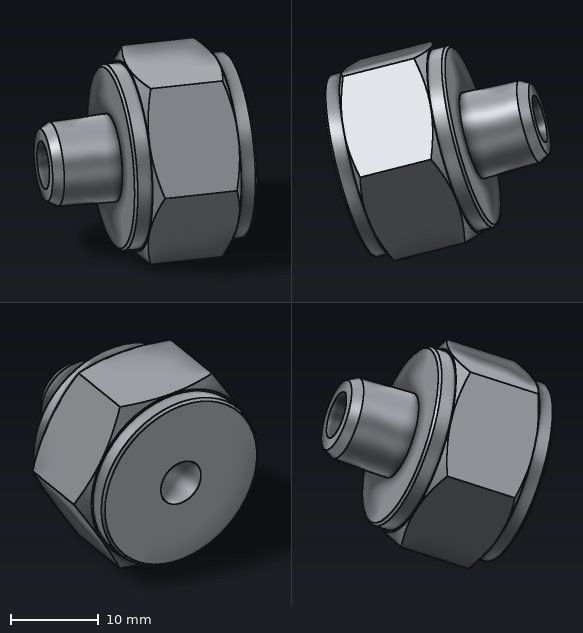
import cadquery as cq
import math

hex_corners = 25.4
hex_land_diameter = 21.95
hex_chamfer_angle = 30.0
collar_diameter = 21.5
collar_chamfer = 0.3
stem_base_diameter = 10.15
stem_end_diameter = 9.75
stem_tip_diameter = 8.38
bore_diameter = 5.5

stem_chamfer_length = 1.2
stem_length = 8.0
hex_start = 10.0
hex_end = 20.5
total_length = 22.5

tip_y = -total_length / 2


def revolve_profile(points):
    """Revolve (radius, distance from tip) points about the Y axis."""
    placed = [(radius, tip_y + distance) for radius, distance in points]
    return cq.Workplane("XY").polyline(placed).close().revolve(360, (0, 0), (0, 1))


def axial_plane(distance):
    """Workplane facing +Y at a distance from the stem tip."""
    return cq.Workplane(cq.Plane((0, tip_y + distance, 0), (1, 0, 0), (0, 1, 0)))


def make_hexagon():
    """Hexagonal nut with corners on X and both ends chamfered by cones."""
    prism = axial_plane(hex_start).polygon(6, hex_corners).extrude(hex_end - hex_start)
    land_radius = hex_land_diameter / 2
    outer_radius = hex_corners / 2
    drop = (outer_radius - land_radius) * math.tan(math.radians(hex_chamfer_angle))
    envelope = revolve_profile([
        (0, hex_start),
        (land_radius, hex_start),
        (outer_radius, hex_start + drop),
        (outer_radius, hex_end - drop),
        (land_radius, hex_end),
        (0, hex_end),
    ])
    return prism.intersect(envelope)


def make_turned_body():
    """Tapered stem and the round collar running through the hexagon."""
    collar_radius = collar_diameter / 2
    face_radius = collar_radius - collar_chamfer
    return revolve_profile([
        (0, 0),
        (stem_tip_diameter / 2, 0),
        (stem_end_diameter / 2, stem_chamfer_length),
        (stem_base_diameter / 2, stem_length),
        (face_radius, stem_length),
        (collar_radius, stem_length + collar_chamfer),
        (collar_radius, total_length - collar_chamfer),
        (face_radius, total_length),
        (0, total_length),
    ])


bore = axial_plane(0).circle(bore_diameter / 2).extrude(total_length)
result = make_turned_body().union(make_hexagon()).cut(bore)